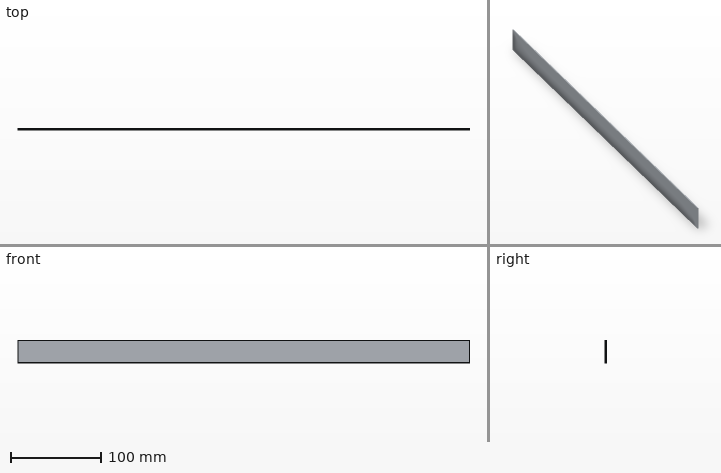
import cadquery as cq

length = 500.0
thickness = 1.3
height = 25.0

result = cq.Workplane("XY").box(length, thickness, height)